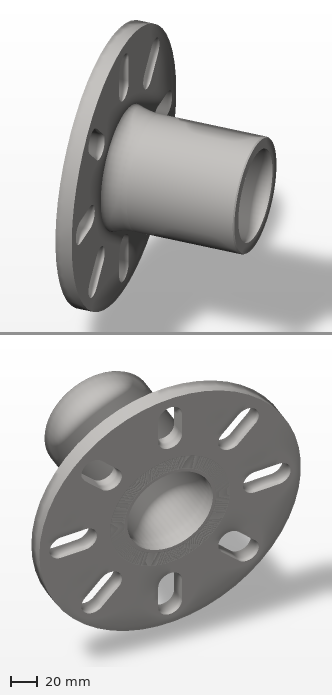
import cadquery as cq
import math

flange_diameter = 220.0
flange_thickness = 13.0

overall_length = 118.0
bore_diameter = 72.0
tube_diameter = 90.0
neck_root_diameter = 97.7
neck_end_x = 32.3
end_chamfer_length = 1.0
end_chamfer_depth = 0.7

slot_count = 8
slot_width = 20.0
slot_length = 40.0
slot_center_radius = 81.5

groove_count = 13
groove_inner_diameter = 77.5
groove_outer_diameter = 100.8
groove_tool_radius = 1.6


def make_body():
    """Revolve the flange, flared neck and tube about the X axis."""
    bore_radius = bore_diameter / 2
    flange_radius = flange_diameter / 2
    tube_radius = tube_diameter / 2
    neck_root_radius = neck_root_diameter / 2

    neck_length = neck_end_x - flange_thickness
    neck_rise = neck_root_radius - tube_radius
    neck_arc_radius = (neck_length**2 + neck_rise**2) / (2 * neck_rise)
    half_sweep = math.asin(neck_length / neck_arc_radius) / 2
    neck_middle = (
        neck_end_x - neck_arc_radius * math.sin(half_sweep),
        tube_radius + neck_arc_radius * (1 - math.cos(half_sweep)),
    )

    return (
        cq.Workplane("XY")
        .moveTo(0, bore_radius)
        .lineTo(0, flange_radius)
        .lineTo(flange_thickness, flange_radius)
        .lineTo(flange_thickness, neck_root_radius)
        .threePointArc(neck_middle, (neck_end_x, tube_radius))
        .lineTo(overall_length - end_chamfer_length, tube_radius)
        .lineTo(overall_length, tube_radius - end_chamfer_depth)
        .lineTo(overall_length, bore_radius)
        .close()
        .revolve(360, (0, 0, 0), (1, 0, 0))
    )


def make_slots():
    """Radial slots evenly spaced around the flange."""
    return (
        cq.Workplane("YZ")
        .polarArray(slot_center_radius, 0, 360, slot_count)
        .slot2D(slot_length, slot_width)
        .extrude(flange_thickness)
    )


def make_grooves():
    """Shallow arc grooves that meet each other at sharp crests on the flange face."""
    inner_radius = groove_inner_diameter / 2
    pitch = (groove_outer_diameter - groove_inner_diameter) / 2 / groove_count
    depth = groove_tool_radius - math.sqrt(groove_tool_radius**2 - (pitch / 2) ** 2)

    profile = cq.Workplane("XY").moveTo(0, inner_radius)
    for index in range(groove_count):
        crest_radius = inner_radius + index * pitch
        profile = profile.threePointArc((depth, crest_radius + pitch / 2), (0, crest_radius + pitch))
    return profile.close().revolve(360, (0, 0, 0), (1, 0, 0))


result = make_body().cut(make_slots()).cut(make_grooves())